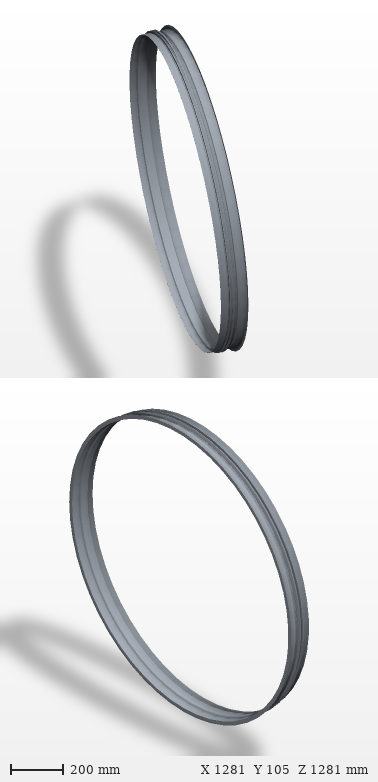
import cadquery as cq

outer_diameter = 1281.0
ring_length = 105.0

sheet = 0.6
shell_diameter = 1249.0
groove_diameter = 1237.0
groove_front = 28.0
groove_back = 69.0
groove_wall_run = 4.0

gasket_diameter = 1241.0
gasket_tail_diameter = 1240.0
gasket_step = 58.0
lip_diameter = 1266.0
flat_lip_front = 35.0
flat_lip_thickness = 1.9
sloped_lip_root_front = 49.0
sloped_lip_root_back = 55.0
sloped_lip_tip_front = 46.0
sloped_lip_tip_back = 51.0
sloped_lip_tip_bevel = 3.0

floor_front = groove_front + groove_wall_run
floor_back = groove_back - groove_wall_run


def revolve_profile(points):
    """Revolve a closed (radius, Y) outline about the Y axis."""
    return cq.Workplane("XY").polyline(points).close().revolve(360, (0, 0, 0), (0, 1, 0))


def make_ring():
    """Thin rolled shell with an inward groove with sloping walls and a flat back flange."""
    flange_radius = outer_diameter / 2
    shell_outer = shell_diameter / 2
    shell_inner = shell_outer - sheet
    groove_outer = groove_diameter / 2
    groove_inner = groove_outer - sheet
    return revolve_profile([
        (shell_inner, 0),
        (shell_outer, 0),
        (shell_outer, groove_front),
        (groove_outer, floor_front),
        (groove_outer, floor_back),
        (shell_outer, groove_back),
        (shell_outer, ring_length - sheet),
        (flange_radius, ring_length - sheet),
        (flange_radius, ring_length),
        (shell_inner, ring_length),
        (shell_inner, groove_back + sheet),
        (groove_inner, floor_back + sheet),
        (groove_inner, floor_front - sheet),
        (shell_inner, groove_front - sheet),
    ])


def make_gasket():
    """Stepped sealing band on the groove floor with a flat lip and a forward-sloping lip."""
    inner = groove_diameter / 2
    band = gasket_diameter / 2
    tail = gasket_tail_diameter / 2
    lip = lip_diameter / 2
    flat_lip_back = flat_lip_front + flat_lip_thickness

    wall_rise = (shell_diameter - groove_diameter) / 2
    wall_slope = groove_wall_run / wall_rise
    return revolve_profile([
        (inner, floor_front),
        (band, floor_front - wall_slope * (band - inner)),
        (band, flat_lip_front),
        (lip, flat_lip_front),
        (lip, flat_lip_back),
        (band, flat_lip_back),
        (band, sloped_lip_root_front),
        (lip - sloped_lip_tip_bevel, sloped_lip_tip_front),
        (lip, sloped_lip_tip_back),
        (band, sloped_lip_root_back),
        (band, gasket_step),
        (tail, gasket_step),
        (tail, floor_back + wall_slope * (tail - inner)),
        (inner, floor_back),
    ])


ring = make_ring()
gasket = make_gasket()
result = cq.Compound.makeCompound([ring.val(), gasket.val()])